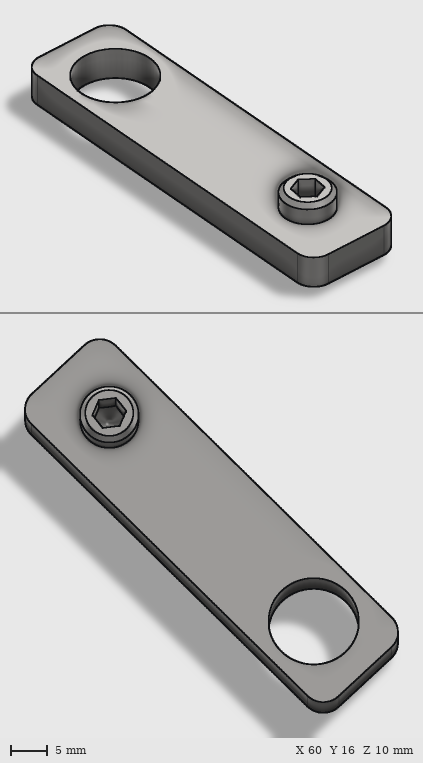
import cadquery as cq
import math

plate_length = 60.0
plate_width = 16.0
plate_thickness = 5.0
corner_radius = 3.0
end_distance = 10.0
large_hole_diameter = 12.3

screw_diameter = 8.0
screw_length = 10.0
screw_below_plate = 1.8
top_chamfer = 0.7
point_chamfer = 1.45

socket_across_flats = 4.0
socket_depth = 3.6
socket_turn = -6.7
socket_cone_angle = 120.0

hole_offset = plate_length / 2 - end_distance


def make_plate():
    """Rounded bar with a large open hole and a hole that fits the screw."""
    plate = cq.Workplane("XY").box(
        plate_length, plate_width, plate_thickness, centered=(True, True, False)
    )
    plate = plate.edges("|Z").fillet(corner_radius)
    top = plate.faces(">Z").workplane(origin=(0, 0, plate_thickness))
    plate = top.center(-hole_offset, 0).hole(large_hole_diameter)
    top = plate.faces(">Z").workplane(origin=(0, 0, plate_thickness))
    return top.center(hole_offset, 0).hole(screw_diameter)


def make_socket_cutter():
    """Hexagonal prism ending in a cone, hanging down from the screw's top face."""
    corner_reach = socket_across_flats / math.sqrt(3)
    cone_height = corner_reach / math.tan(math.radians(socket_cone_angle / 2))
    tip_depth = socket_depth + cone_height
    hexagon = (
        cq.Workplane("XY")
        .polygon(6, 2 * corner_reach)
        .extrude(-tip_depth)
        .rotate((0, 0, 0), (0, 0, 1), socket_turn)
    )
    pointed_bore = (
        cq.Workplane("XZ")
        .polyline([(0, 0), (corner_reach, 0), (corner_reach, -socket_depth), (0, -tip_depth)])
        .close()
        .revolve(360, (0, 0, 0), (0, 1, 0))
    )
    return hexagon.intersect(pointed_bore).translate((0, 0, screw_length))


def make_screw():
    """Set screw with a chamfered top, a bevelled flat point and a hex socket."""
    screw = cq.Workplane("XY").circle(screw_diameter / 2).extrude(screw_length)
    screw = screw.faces(">Z").chamfer(top_chamfer)
    screw = screw.faces("<Z").chamfer(point_chamfer)
    screw = screw.cut(make_socket_cutter())
    return screw.translate((hole_offset, 0, -screw_below_plate))


plate = make_plate()
screw = make_screw()

result = cq.Compound.makeCompound([plate.solids().val(), screw.solids().val()])